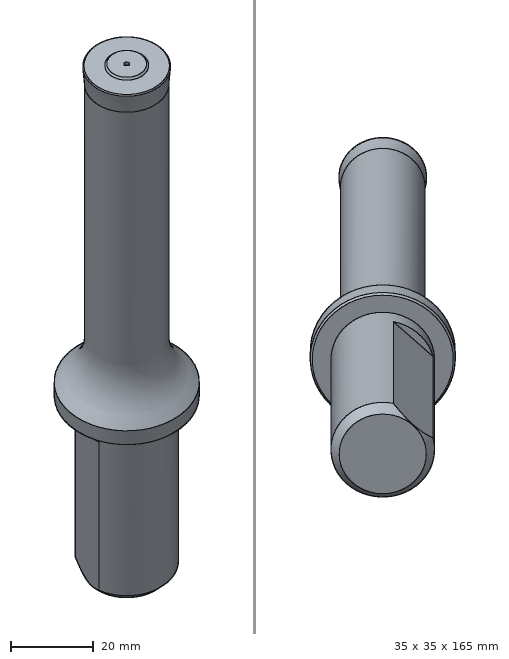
import cadquery as cq
import math

TOTAL_HEIGHT = 165.0
SHANK_LENGTH = 56.0
FLANGE_THICKNESS = 5.0
HEAD_SEAT_Z = 158.5

SHANK_DIAMETER = 25.0
SHANK_CHAMFER_HEIGHT = 2.5
SHANK_CHAMFER_WIDTH = 2.0
FLAT_DISTANCE = 10.6
FLAT_LENGTH = 51.0

FLANGE_DIAMETER = 35.0
FLANGE_EDGE_CHAMFER = 0.5
TRANSITION_RADIUS = 16.8
TRANSITION_ANGLE = math.radians(43)

NECK_DIAMETER = 20.4

HEAD_RIM_DIAMETER = 21.2
RIM_CHAMFER_HEIGHT = 0.3
RIM_CHAMFER_WIDTH = 0.3
FACE_RISE = 0.1
NUB_BASE_DIAMETER = 10.6
NUB_HEIGHT = 0.5
NUB_TOP_DIAMETER = 9.6
CENTER_HOLE_DIAMETER = 1.3
CENTER_HOLE_DEPTH = 1.0


def make_holder():
    """Shank, flange and neck turned in one profile, with a flat milled on the -Y side."""
    shank_r = SHANK_DIAMETER / 2
    flange_r = FLANGE_DIAMETER / 2
    neck_r = NECK_DIAMETER / 2
    flange_top = SHANK_LENGTH + FLANGE_THICKNESS

    def arc_point(angle):
        """Offset of an arc point from the neck tangent point: outward, downward."""
        outward = TRANSITION_RADIUS * (1 - math.cos(angle))
        downward = TRANSITION_RADIUS * math.sin(angle)
        return outward, downward

    arc_out, arc_down = arc_point(TRANSITION_ANGLE)
    mid_out, mid_down = arc_point(TRANSITION_ANGLE / 2)
    arc_end_r = neck_r + arc_out
    arc_end_z = flange_top + (flange_r - arc_end_r) / math.tan(TRANSITION_ANGLE)
    neck_start_z = arc_end_z + arc_down

    profile = (
        cq.Workplane("XZ")
        .moveTo(0, 0)
        .lineTo(shank_r - SHANK_CHAMFER_WIDTH, 0)
        .lineTo(shank_r, SHANK_CHAMFER_HEIGHT)
        .lineTo(shank_r, SHANK_LENGTH)
        .lineTo(flange_r - FLANGE_EDGE_CHAMFER, SHANK_LENGTH)
        .lineTo(flange_r, SHANK_LENGTH + FLANGE_EDGE_CHAMFER)
        .lineTo(flange_r, flange_top)
        .lineTo(arc_end_r, arc_end_z)
        .threePointArc((neck_r + mid_out, neck_start_z - mid_down), (neck_r, neck_start_z))
        .lineTo(neck_r, HEAD_SEAT_Z)
        .lineTo(0, HEAD_SEAT_Z)
        .close()
    )
    holder = profile.revolve(360, (0, 0, 0), (0, 1, 0))

    flat_cut = (
        cq.Workplane("XY")
        .box(SHANK_DIAMETER, SHANK_DIAMETER, FLAT_LENGTH, centered=(True, False, False))
        .translate((0, -FLAT_DISTANCE - SHANK_DIAMETER, 0))
    )
    return holder.cut(flat_cut)


def make_head():
    """Flared head with a chamfered rim, a low tapered nub and a small center hole."""
    rim_r = HEAD_RIM_DIAMETER / 2
    nub_base_z = TOTAL_HEIGHT - NUB_HEIGHT
    face_edge_z = nub_base_z - FACE_RISE
    rim_z = face_edge_z - RIM_CHAMFER_HEIGHT
    head = (
        cq.Workplane("XZ")
        .moveTo(0, HEAD_SEAT_Z)
        .lineTo(NECK_DIAMETER / 2, HEAD_SEAT_Z)
        .lineTo(rim_r, rim_z)
        .lineTo(rim_r - RIM_CHAMFER_WIDTH, face_edge_z)
        .lineTo(NUB_BASE_DIAMETER / 2, nub_base_z)
        .lineTo(NUB_TOP_DIAMETER / 2, TOTAL_HEIGHT)
        .lineTo(0, TOTAL_HEIGHT)
        .close()
        .revolve(360, (0, 0, 0), (0, 1, 0))
    )
    return head.faces(">Z").workplane().hole(CENTER_HOLE_DIAMETER, CENTER_HOLE_DEPTH)


holder = make_holder()
head = make_head()
result = cq.Compound.makeCompound([holder.val(), head.val()])